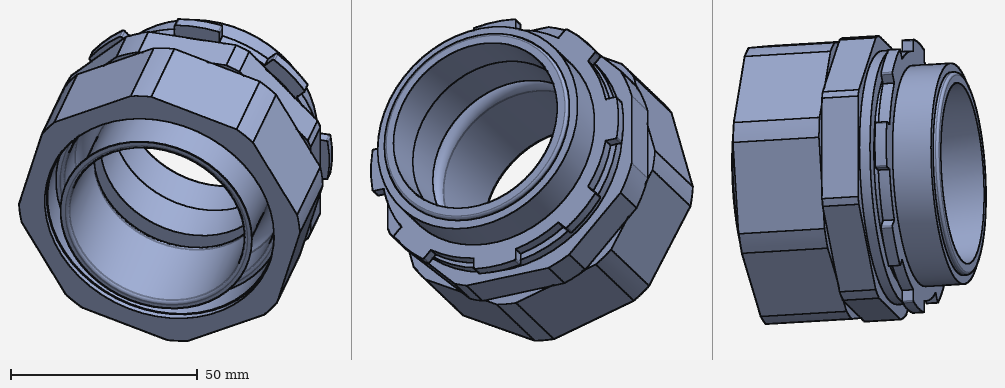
import cadquery as cq
import math


nut_front = 3.35
nut_rear = 27.0
hex_rear = 37.0
gasket_rear = 39.85
locknut_front = 41.9
locknut_rear = 45.0
body_rear = 55.6
overall_length = 57.0

octagon_sides = 8
half_side_angle = 180 / octagon_sides

overall_width = 77.85
nut_across_flats = 74.0
nut_turn = 7.5
flat_tilt = math.radians(half_side_angle - nut_turn)
nut_apothem = nut_across_flats / 2
nut_half_flat = (overall_width / 2 - nut_apothem * math.cos(flat_tilt)) / math.sin(flat_tilt)
nut_corner_diameter = 2 * math.hypot(nut_apothem, nut_half_flat)
nut_mouth_diameter = 63.5
nut_lip = 1.9
nut_bore = 67.5

seal_bore = 63.0

sheet = 0.2
ferrule_bore = 48.5
ferrule_outer_diameter = 59.2
front_flange_diameter = 53.0
rear_flange_front = 13.8
flange_bend = 0.8
cup_bend_start = 25.85

body_across_flats = 72.3
body_corner_diameter = 76.3
body_flats_offset = -0.6
body_diameter = 59.2
cavity_diameter = 60.7
shoulder = 32.5

insert_sleeve_diameter = 52.0
insert_lip_diameter = 54.5
insert_front = 45.0
insert_edge_round = 0.8

gasket_diameter = 68.0

lug_count = 8
lug_width = 12.45
lug_tip_diameter = 73.3
lug_edge_round = 0.5
locknut_diameter = 66.95


def along_axis(sketch, front, rear):
    """Extrude an outline drawn in the XZ plane from one station to another."""
    return sketch.extrude(front - rear).translate((0, front, 0))


def tube(outer, inner, front, rear):
    return along_axis(cq.Workplane("XZ").circle(outer / 2).circle(inner / 2), front, rear)


def rod(diameter, front, rear):
    return along_axis(cq.Workplane("XZ").circle(diameter / 2), front, rear)


def trimmed_octagon(across_flats, corner_diameter, turn, offset, front, rear):
    """Octagonal prism whose corners are cut round by a circle on the axis."""
    across_corners = across_flats / math.cos(math.radians(half_side_angle))
    prism = along_axis(cq.Workplane("XZ").polygon(octagon_sides, across_corners), front, rear)
    prism = prism.rotate((0, 0, 0), (0, -1, 0), turn).translate((offset, 0, 0))
    return prism.intersect(rod(corner_diameter, front, rear))


def make_nut():
    nut = trimmed_octagon(nut_across_flats, nut_corner_diameter, nut_turn, 0, nut_front, nut_rear)
    nut = nut.cut(rod(nut_mouth_diameter, nut_front, nut_rear))
    return nut.cut(rod(nut_bore, nut_front + nut_lip, nut_rear))


def make_sealing_ring():
    return tube(nut_bore, seal_bore, nut_front + nut_lip, rear_flange_front)


def make_ferrule():
    """Revolve the folded sheet: inner tube, half-round cup bottom and outer tube."""
    wide_bend = flange_bend + sheet
    diagonal = math.sqrt(0.5)
    inner_skin = ferrule_bore / 2
    inner_back = inner_skin + sheet
    outer_skin = ferrule_outer_diameter / 2
    outer_back = outer_skin - sheet
    front_bend_radius = inner_skin + wide_bend
    rear_bend_radius = outer_skin + flange_bend
    rear_bend_station = rear_flange_front + wide_bend
    cup_middle = (inner_skin + outer_skin) / 2
    cup_outer_bend = (outer_skin - inner_skin) / 2
    cup_inner_bend = cup_outer_bend - sheet
    profile = (
        cq.Workplane("XY")
        .moveTo(front_flange_diameter / 2, 0)
        .lineTo(front_bend_radius, 0)
        .threePointArc(
            (front_bend_radius - wide_bend * diagonal, wide_bend * (1 - diagonal)),
            (inner_skin, wide_bend),
        )
        .lineTo(inner_skin, cup_bend_start)
        .threePointArc((cup_middle, cup_bend_start + cup_outer_bend), (outer_skin, cup_bend_start))
        .lineTo(outer_skin, rear_bend_station)
        .threePointArc(
            (rear_bend_radius - flange_bend * diagonal, rear_bend_station - flange_bend * diagonal),
            (rear_bend_radius, rear_flange_front + sheet),
        )
        .lineTo(nut_bore / 2, rear_flange_front + sheet)
        .lineTo(nut_bore / 2, rear_flange_front)
        .lineTo(rear_bend_radius, rear_flange_front)
        .threePointArc(
            (rear_bend_radius - wide_bend * diagonal, rear_bend_station - wide_bend * diagonal),
            (outer_back, rear_bend_station),
        )
        .lineTo(outer_back, cup_bend_start)
        .threePointArc((cup_middle, cup_bend_start + cup_inner_bend), (inner_back, cup_bend_start))
        .lineTo(inner_back, wide_bend)
        .threePointArc(
            (front_bend_radius - flange_bend * diagonal, wide_bend - flange_bend * diagonal),
            (front_bend_radius, sheet),
        )
        .lineTo(front_flange_diameter / 2, sheet)
        .close()
    )
    return profile.revolve(360, (0, 0, 0), (0, 1, 0))


def make_body():
    spigot_front = rear_flange_front + sheet + flange_bend
    body = trimmed_octagon(
        body_across_flats,
        body_corner_diameter,
        half_side_angle,
        body_flats_offset,
        nut_rear,
        hex_rear,
    )
    body = body.union(rod(nut_bore, spigot_front, nut_rear))
    body = body.union(rod(body_diameter, hex_rear, body_rear))
    body = body.cut(rod(cavity_diameter, spigot_front, shoulder))
    body = body.cut(rod(ferrule_bore, shoulder, body_rear))
    return body.cut(rod(insert_sleeve_diameter, insert_front, body_rear))


def make_throat_insert():
    lip = rod(insert_lip_diameter, body_rear, overall_length)
    lip = lip.faces(">Y").edges().fillet(insert_edge_round)
    insert = lip.union(rod(insert_sleeve_diameter, insert_front, body_rear))
    return insert.cut(rod(ferrule_bore, insert_front, overall_length))


def make_gasket():
    return tube(gasket_diameter, body_diameter, hex_rear, gasket_rear)


def make_locknut():
    """Ring with parallel-sided lugs spaced evenly around its rim."""
    locknut = rod(locknut_diameter, locknut_front, locknut_rear)
    lug_outline = cq.Workplane("XZ").rect(lug_tip_diameter + lug_width, lug_width)
    lug_bar = along_axis(lug_outline, locknut_front, locknut_rear)
    lug_bar = lug_bar.intersect(rod(lug_tip_diameter, locknut_front, locknut_rear))
    lug_bar = lug_bar.edges("|Y").fillet(lug_edge_round)
    for index in range(lug_count // 2):
        locknut = locknut.union(lug_bar.rotate((0, 0, 0), (0, 1, 0), index * 360 / lug_count))
    return locknut.cut(rod(body_diameter, locknut_front, locknut_rear))


nut = make_nut()
sealing_ring = make_sealing_ring()
ferrule = make_ferrule()
body = make_body()
gasket = make_gasket()
locknut = make_locknut()
throat_insert = make_throat_insert()

result = cq.Compound.makeCompound(
    [
        nut.val(),
        sealing_ring.val(),
        ferrule.val(),
        body.val(),
        gasket.val(),
        locknut.val(),
        throat_insert.val(),
    ]
)